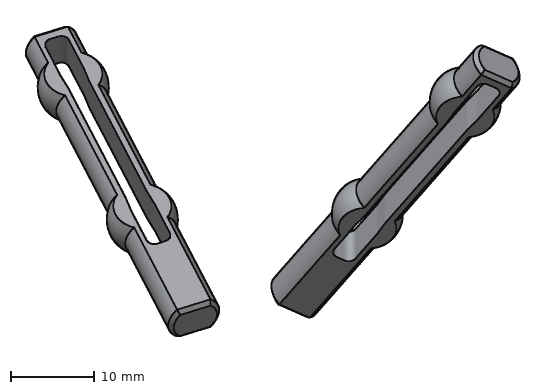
import cadquery as cq

bar_length = 46.9
bar_diameter = 6.6
flat_thickness = 5.0
end_chamfer = 0.5

ball_diameter = 8.6
ball_setback = 7.6
ball_spacing = 22.2

slot_left = 1.5
slot_end_width = 3.0
slot_middle_width = 2.7
slot_taper_span = 22.6
slot_middle_length = 18.65
slot_corner_radius = 1.0

ball_centres = (ball_setback, ball_setback + ball_spacing)
slot_centre = sum(ball_centres) / 2
slot_length = 2 * (slot_centre - slot_left)


def make_bar():
    """Round bar with two flats and both ends chamfered all round."""
    bar = cq.Workplane("YZ").circle(bar_diameter / 2).extrude(bar_length)
    flats = cq.Workplane("XY").box(
        bar_length, bar_diameter, flat_thickness, centered=(False, True, True)
    )
    return bar.intersect(flats).faces("<X or >X").chamfer(end_chamfer)


def make_ball(centre_x):
    """Ball on the bar axis, cut off level with the flats."""
    ball = cq.Workplane("XY").sphere(ball_diameter / 2)
    flats = cq.Workplane("XY").box(ball_diameter, ball_diameter, flat_thickness)
    return ball.intersect(flats).translate((centre_x, 0, 0))


def make_slot():
    """Slot through both flats, tapering to a narrower middle between the balls."""
    half_length = slot_length / 2
    half_taper_span = slot_taper_span / 2
    half_middle = slot_middle_length / 2
    wide = slot_end_width / 2
    narrow = slot_middle_width / 2
    upper_side = [
        (-half_length, wide),
        (-half_taper_span, wide),
        (-half_middle, narrow),
        (half_middle, narrow),
        (half_taper_span, wide),
        (half_length, wide),
    ]
    lower_side = [(-x, -y) for x, y in upper_side]
    slot = (
        cq.Workplane("XY")
        .polyline(upper_side + lower_side)
        .close()
        .extrude(flat_thickness / 2, both=True)
    )
    end_corners = slot.faces("<X or >X").edges("|Z")
    return end_corners.fillet(slot_corner_radius).translate((slot_centre, 0, 0))


result = make_bar()
for centre_x in ball_centres:
    result = result.union(make_ball(centre_x))
result = result.cut(make_slot())